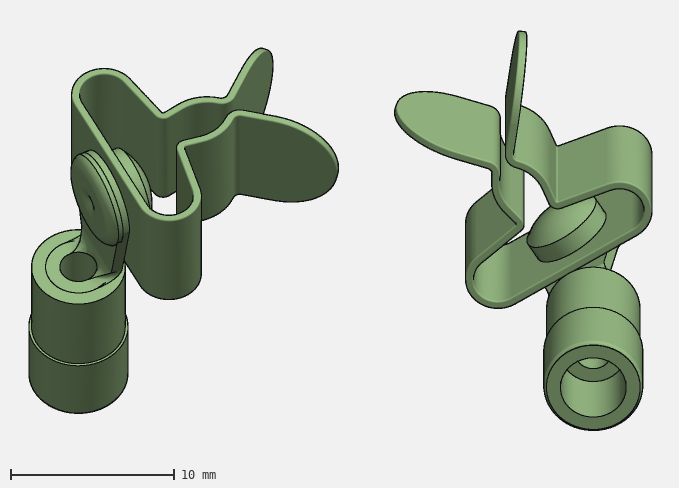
import cadquery as cq
import math


total_height = 21.0
total_width = 12.79
total_depth = 18.67

sleeve_radius = 2.88
sleeve_top = 11.0
collar_radius = 3.05
collar_height = 5.0
collar_rounding = 0.3

barrel_radius = 2.02
bore_radius = 1.13
neck_top = 12.0
tab_thickness = 0.75
tab_corner_drop = 0.1
neck_waist_rise = 0.27
neck_waist_inner = (1.4, 0.74)
neck_waist_outer_y = 1.45
neck_inner_sag = 1.15
neck_outer_sag = 2.16

clip_height = 8.0
strip_thickness = 0.5
strip_rounding = 0.1
clip_front = 2.0
end_loop_radius = 2.0
shoulder_angle = 10.0
jaw_radius = 2.75
jaw_center_x = -1.3
jaw_center_y = 8.2
shoulder_bend_radius = 0.35
throat_radius = 0.67
throat_angle = 41.4
tongue_angle = 40.0

rivet_radius = 3.0
rivet_face_radius = 2.2
head_seat_depth = 0.32
head_above_tab = 0.55
shank_radius = 2.5
shank_end = 3.68
dome_height = 0.92
dimple_radius = 1.0
dimple_depth = 0.5

rivet_z = total_height - clip_height / 2
clip_back = clip_front + strip_thickness
tab_front = clip_front - tab_thickness
head_seat = tab_front + head_seat_depth
head_face = tab_front - head_above_tab
clip_tip = total_depth - collar_radius


def polar(center, radius, degrees):
    """Point at an angle from +X around a centre."""
    angle = math.radians(degrees)
    return center[0] + radius * math.cos(angle), center[1] + radius * math.sin(angle)


def make_sleeve():
    collar = cq.Workplane("XY").circle(collar_radius).extrude(collar_height)
    collar = collar.faces("<Z").edges().fillet(collar_rounding)
    tube = cq.Workplane("XY").circle(sleeve_radius).extrude(sleeve_top)
    bore = cq.Workplane("XY").circle(barrel_radius).extrude(sleeve_top)
    return collar.union(tube).cut(bore)


def ring_section(inner_corner, inner_sag, outer_corner, outer_sag, z):
    """Closed section with a front arc, a back arc and two straight ends, symmetric about X = 0."""
    (inner_x, inner_y), (outer_x, outer_y) = inner_corner, outer_corner
    return (
        cq.Workplane("XY", origin=(0, 0, z))
        .moveTo(-inner_x, inner_y)
        .threePointArc((0, inner_sag), (inner_x, inner_y))
        .lineTo(outer_x, outer_y)
        .threePointArc((0, outer_sag), (-outer_x, outer_y))
        .close()
        .val()
    )


def make_neck():
    """Transition from the barrel's half ring up to the flat tab."""
    half_ring = ring_section((bore_radius, 0), bore_radius, (barrel_radius, 0), barrel_radius, sleeve_top)
    waist = ring_section(
        neck_waist_inner, neck_inner_sag,
        (barrel_radius, neck_waist_outer_y), neck_outer_sag,
        sleeve_top + neck_waist_rise,
    )
    tab_root = (
        cq.Workplane("XY", origin=(0, 0, neck_top))
        .moveTo(-barrel_radius, tab_front)
        .lineTo(barrel_radius, tab_front)
        .lineTo(barrel_radius, clip_front)
        .lineTo(-barrel_radius, clip_front)
        .close()
        .val()
    )
    return cq.Workplane(cq.Solid.makeLoft([half_ring, waist, tab_root]))


def rivet_disc(radius, y_start, y_end):
    """Cylinder on the rivet axis between two Y places."""
    plane = cq.Workplane("XZ", origin=(0, y_end, rivet_z))
    return plane.circle(radius).extrude(y_end - y_start)


def shank_hole():
    return rivet_disc(shank_radius, tab_front, clip_back)


def make_tab():
    corner_x = math.sqrt(rivet_radius**2 - tab_corner_drop**2)
    corner_z = rivet_z - tab_corner_drop
    tab = (
        cq.Workplane("XZ", origin=(0, clip_front, 0))
        .moveTo(-barrel_radius, neck_top)
        .lineTo(-corner_x, corner_z)
        .threePointArc((0, rivet_z + rivet_radius), (corner_x, corner_z))
        .lineTo(barrel_radius, neck_top)
        .close()
        .extrude(tab_thickness)
    )
    head_recess = rivet_disc(rivet_radius, tab_front, head_seat)
    return tab.cut(head_recess).cut(shank_hole())


def make_lug():
    barrel_length = sleeve_top - collar_height
    barrel = (
        cq.Workplane("XY", origin=(0, 0, collar_height))
        .circle(barrel_radius)
        .circle(bore_radius)
        .extrude(barrel_length)
    )
    return barrel.union(make_neck()).union(make_tab())


def level_arc(level_point, run, rise):
    """Middle and end of an arc that leaves its first point along +X or -X.

    The arc moves by run in X and by rise in Y.
    """
    radius = (run**2 + rise**2) / (2 * abs(rise))
    half_sweep = math.asin(abs(run) / radius) / 2
    middle = (
        level_point[0] + math.copysign(radius * math.sin(half_sweep), run),
        level_point[1] + math.copysign(radius * (1 - math.cos(half_sweep)), rise),
    )
    end = (level_point[0] + run, level_point[1] + rise)
    return middle, end


def make_rivet():
    dimple_edge = (dimple_radius, head_face)
    dimple_middle, dimple_tip = level_arc(dimple_edge, -dimple_radius, dimple_depth)
    face_edge = (rivet_face_radius, head_face)
    rim_middle, rim_end = level_arc(face_edge, rivet_radius - rivet_face_radius, head_above_tab)
    dome_tip = (0, shank_end + dome_height)
    dome_middle, dome_edge = level_arc(dome_tip, shank_radius, -dome_height)

    profile = (
        cq.Workplane("XY", origin=(0, 0, rivet_z))
        .moveTo(*dimple_tip)
        .threePointArc(dimple_middle, dimple_edge)
        .lineTo(*face_edge)
        .threePointArc(rim_middle, rim_end)
        .lineTo(rivet_radius, head_seat)
        .lineTo(shank_radius, head_seat)
        .lineTo(*dome_edge)
        .threePointArc(dome_middle, dome_tip)
        .close()
    )
    return profile.revolve(360, (0, 0, 0), (0, 1, 0))


def make_half_strip():
    """The +X half of the bent strip, from the middle of the plate to the end of its tongue."""
    half_strip = strip_thickness / 2
    plate_y = clip_front + half_strip
    loop_radius = end_loop_radius - half_strip
    loop_center = (total_width / 2 - end_loop_radius, plate_y + loop_radius)
    jaw_center = (jaw_center_x, jaw_center_y)

    loop_end = polar(loop_center, loop_radius, 90 - shoulder_angle)
    jaw_start = polar(jaw_center, jaw_radius, -shoulder_angle)
    shoulder_direction = 180 - shoulder_angle
    jaw_direction = 90 - shoulder_angle
    along = polar((0, 0), 1, shoulder_direction)
    shoulder_length = (
        (jaw_start[0] - loop_end[0]) * along[0] + (jaw_start[1] - loop_end[1]) * along[1]
    )
    corner = polar(loop_end, shoulder_length, shoulder_direction)
    bend_start = polar(corner, -shoulder_bend_radius, shoulder_direction)
    bend_end = polar(corner, shoulder_bend_radius, jaw_direction)

    jaw_end = polar(jaw_center, jaw_radius, throat_angle)
    throat_center = polar(jaw_center, jaw_radius + throat_radius, throat_angle)
    throat_middle = polar(throat_center, throat_radius, 180 + (throat_angle - tongue_angle) / 2)
    throat_end = polar(throat_center, throat_radius, 180 - tongue_angle)

    path = (
        cq.Workplane("XY", origin=(0, 0, rivet_z))
        .moveTo(0, plate_y)
        .lineTo(loop_center[0], plate_y)
        .threePointArc(polar(loop_center, loop_radius, 0), loop_end)
        .lineTo(*bend_start)
        .tangentArcPoint(bend_end, relative=False)
        .lineTo(*jaw_start)
        .threePointArc(polar(jaw_center, jaw_radius, 0), jaw_end)
        .threePointArc(throat_middle, throat_end)
    )
    strip = (
        cq.Workplane("YZ", origin=(0, plate_y, rivet_z))
        .rect(strip_thickness, clip_height)
        .sweep(path)
    )
    return strip.union(make_tongue(throat_end))


def make_tongue(root):
    """Flat flared leg with a full round end, starting at the mid-strip point given."""
    flare = math.radians(tongue_angle)
    edge_reach = (strip_thickness / 2 - strip_rounding) * math.sin(flare)
    tip_y = clip_tip - edge_reach - strip_rounding * (1 - math.cos(flare))
    length = (tip_y - root[1]) / math.cos(flare)
    round_radius = clip_height / 2
    straight = length - round_radius
    tongue_plane = cq.Plane(
        origin=(root[0], root[1], rivet_z),
        xDir=(math.sin(flare), math.cos(flare), 0),
        normal=(math.cos(flare), -math.sin(flare), 0),
    )
    return (
        cq.Workplane(tongue_plane)
        .moveTo(0, -round_radius)
        .lineTo(straight, -round_radius)
        .threePointArc((length, 0), (straight, round_radius))
        .lineTo(0, round_radius)
        .close()
        .extrude(strip_thickness / 2, both=True)
    )


def make_clip():
    half = make_half_strip()
    strip = half.union(half.mirror("YZ")).clean()
    strip = strip.edges("not |Z").fillet(strip_rounding)
    return strip.cut(shank_hole())


sleeve = make_sleeve()
lug = make_lug()
rivet = make_rivet()
clip = make_clip()

bodies = [body.solids().val() for body in (sleeve, lug, rivet, clip)]
result = cq.Compound.makeCompound(bodies)